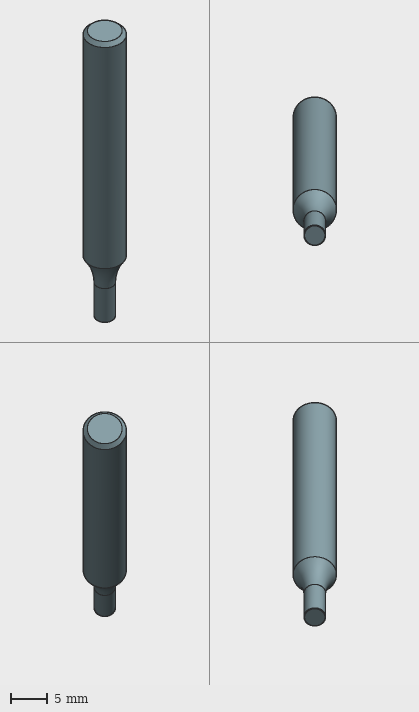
import cadquery as cq
import math

total_length = 50.0
shank_diameter = 6.0
tip_diameter = 3.0
tip_length = 6.0
neck_radius = 8.0
shank_chamfer = 0.6
tip_chamfer = 0.1

shank_r = shank_diameter / 2
tip_r = tip_diameter / 2
neck_center_x = tip_r + neck_radius


def neck_height(radius):
    """Height above the tip at which the neck arc reaches the given radius."""
    return math.sqrt(neck_radius**2 - (neck_center_x - radius)**2)


def make_shank():
    """Shank with a concave neck at the bottom and a chamfered top end."""
    neck_top_z = tip_length + neck_height(shank_r)
    neck_mid_r = (tip_r + shank_r) / 2
    neck_mid_z = tip_length + neck_height(neck_mid_r)
    return (
        cq.Workplane("XZ")
        .moveTo(0, tip_length)
        .lineTo(tip_r, tip_length)
        .threePointArc((neck_mid_r, neck_mid_z), (shank_r, neck_top_z))
        .lineTo(shank_r, total_length - shank_chamfer)
        .lineTo(shank_r - shank_chamfer, total_length)
        .lineTo(0, total_length)
        .close()
        .revolve(360, (0, 0, 0), (0, 1, 0))
    )


def make_tip():
    """Cylindrical tip, chamfered at its free end, that butts against the end of the neck."""
    return cq.Workplane("XY").circle(tip_r).extrude(tip_length).faces("<Z").chamfer(tip_chamfer)


shank = make_shank()
tip = make_tip()

result = cq.Compound.makeCompound([shank.val(), tip.val()])